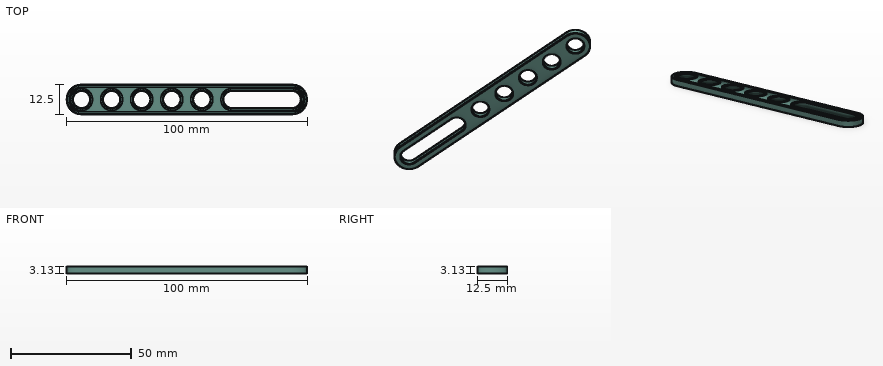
import cadquery as cq

pitch = 12.5
length = 8 * pitch
thickness = pitch / 4
hole_count = 5
hole_diameter = 7.0
collar_diameter = 9.2
edge_chamfer = 0.3
rim_width = 1.1
recess_depth = 0.2
flare_taper = -45
slot_pitches = 2

top_z = thickness / 2
end_center_x = (length - pitch) / 2
slot_travel = slot_pitches * pitch
slot_center_x = end_center_x - slot_travel / 2
hole_points = [(-end_center_x + i * pitch, 0) for i in range(hole_count)]


def openings(diameter, base_z, height, taper=0):
    """Solids covering the round holes and the slot, all with one diameter at base_z."""
    holes = (
        cq.Workplane("XY", origin=(0, 0, base_z))
        .pushPoints(hole_points)
        .circle(diameter / 2)
        .extrude(height, taper=taper)
    )
    slot = (
        cq.Workplane("XY", origin=(slot_center_x, 0, base_z))
        .slot2D(slot_travel + diameter, diameter)
        .extrude(height, taper=taper)
    )
    return holes.union(slot)


def bar_body():
    """Round-ended bar with both outer edges chamfered."""
    body = cq.Workplane("XY", origin=(0, 0, -top_z)).slot2D(length, pitch).extrude(thickness)
    return body.faces("|Z").edges().chamfer(edge_chamfer)


def recess():
    """Shallow floor inside the rim, leaving the collars standing."""
    floor_z = top_z - recess_depth
    pocket = (
        cq.Workplane("XY", origin=(0, 0, floor_z))
        .slot2D(length - 2 * rim_width, pitch - 2 * rim_width)
        .extrude(recess_depth)
    )
    return pocket.cut(openings(collar_diameter, floor_z, recess_depth))


def opening_cutter():
    """Through holes and slot, flared by a 45 degree chamfer at the top and bottom faces."""
    through = openings(hole_diameter, -top_z, thickness)
    flare = openings(hole_diameter, top_z - edge_chamfer, edge_chamfer, flare_taper)
    return through.union(flare).union(flare.mirror("XY"))


result = bar_body().cut(recess()).cut(opening_cutter())